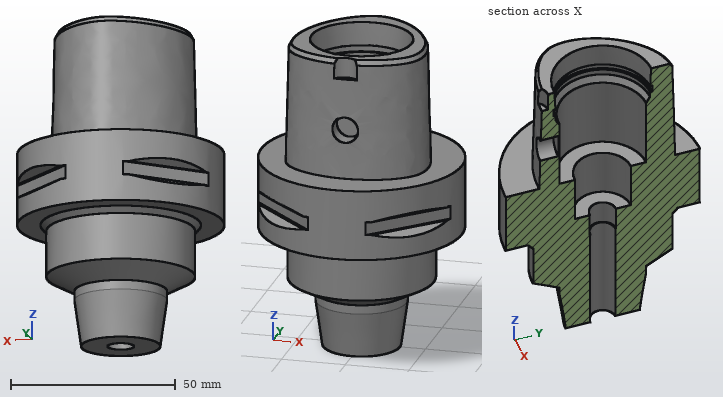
import cadquery as cq
import math

TOTAL_HEIGHT = 98.0
NOSE_TAPER_TOP = 14.4
NOSE_TOP = 17.2
BODY_BOTTOM = 21.8
BODY_TOP = 36.1
FLANGE_BOTTOM = 37.9
FLANGE_TOP = 60.1

NOSE_TIP_RADIUS = 12.1
NOSE_RADIUS = 14.1
BODY_RADIUS = 22.6
FLANGE_NECK_RADIUS = 24.4
FLANGE_DIAMETER = 63.0
FLANGE_RADIUS = FLANGE_DIAMETER / 2

SHANK_WIDTH = 44.2
SHANK_RADIUS = SHANK_WIDTH / 2
LOBE_HEIGHT = 1.5
SHANK_TAPER = 1 / 40
SHANK_CHAMFER_HEIGHT = 1.6
SHANK_CHAMFER_INSET = 0.9
OUTLINE_POINTS = 48

MOUTH_RADIUS = 15.7
THROAT_RADIUS = 15.3
THROAT_DEPTH = 11.5
GROOVE_RADIUS = 16.0
GROOVE_START_DEPTH = 7.35
GROOVE_END_DEPTH = 9.5
MAIN_BORE_RADIUS = 14.0
MAIN_BORE_START_DEPTH = 13.7
MAIN_BORE_FLOOR = FLANGE_TOP
SCREW_BORE_RADIUS = 9.0
SCREW_BORE_FLOOR = 44.1
COOLANT_BORE_RADIUS = 4.2
TOOL_BORE_RADIUS = 4.0

KEYWAY_RADIUS = 4.5
KEYWAY_CENTRE_Y = -22.3
KEYWAY_DEPTH = 6.3
RADIAL_HOLE_RADIUS = 4.0
RADIAL_HOLE_Z = 75.6
RADIAL_HOLE_FLOOR_DISTANCE = 14.5

NOTCH_COUNT = 4
NOTCH_FIRST_ANGLE = 45
NOTCH_FLOOR_DISTANCE = 27.7
NOTCH_FLOOR_HEIGHT = 4.1
NOTCH_CENTRE_Z = 48.0
NOTCH_STRAIGHT_DEPTH = 0.8
NOTCH_FLARE_ANGLE = 30


def lobed_point(angle, mean_radius):
    """Point of the outline whose distance to its tangent is mean_radius - LOBE_HEIGHT * sin(3 * angle)."""
    reach = mean_radius - LOBE_HEIGHT * math.sin(3 * angle)
    slope = -3 * LOBE_HEIGHT * math.cos(3 * angle)
    x = reach * math.cos(angle) - slope * math.sin(angle)
    y = reach * math.sin(angle) + slope * math.cos(angle)
    return x, y


def lobed_wire(mean_radius, z):
    points = []
    for i in range(OUTLINE_POINTS):
        x, y = lobed_point(2 * math.pi * i / OUTLINE_POINTS - math.pi / 2, mean_radius)
        points.append(cq.Vector(x, y, z))
    return cq.Wire.assembleEdges([cq.Edge.makeSpline(points, periodic=True)])


def make_shank():
    chamfer_z = TOTAL_HEIGHT - SHANK_CHAMFER_HEIGHT
    chamfer_radius = SHANK_RADIUS - SHANK_TAPER * (chamfer_z - FLANGE_TOP)
    base = lobed_wire(SHANK_RADIUS, FLANGE_TOP)
    shoulder = lobed_wire(chamfer_radius, chamfer_z)
    end = lobed_wire(chamfer_radius - SHANK_CHAMFER_INSET, TOTAL_HEIGHT)
    taper = cq.Solid.makeLoft([base, shoulder], True)
    chamfer = cq.Solid.makeLoft([shoulder, end], True)
    return cq.Workplane(taper).union(cq.Workplane(chamfer))


def revolve_profile(points):
    """Turn a closed outline of (radius, z) points about the Z axis."""
    return cq.Workplane("XZ").polyline(points).close().revolve(360, (0, 0, 0), (0, 1, 0))


def make_turned_body():
    return revolve_profile([
        (0, 0),
        (NOSE_TIP_RADIUS, 0),
        (NOSE_RADIUS, NOSE_TAPER_TOP),
        (NOSE_RADIUS, NOSE_TOP),
        (BODY_RADIUS, BODY_BOTTOM),
        (BODY_RADIUS, BODY_TOP),
        (FLANGE_NECK_RADIUS, FLANGE_BOTTOM),
        (FLANGE_RADIUS, FLANGE_BOTTOM),
        (FLANGE_RADIUS, FLANGE_TOP),
        (0, FLANGE_TOP),
    ])


def make_bore():
    """Stepped bore whose mouth tapers to the throat, with a groove cut above the main bore."""
    groove_top = TOTAL_HEIGHT - GROOVE_START_DEPTH
    groove_bottom = TOTAL_HEIGHT - GROOVE_END_DEPTH
    return revolve_profile([
        (0, 0),
        (TOOL_BORE_RADIUS, 0),
        (TOOL_BORE_RADIUS, BODY_TOP),
        (COOLANT_BORE_RADIUS, BODY_TOP),
        (COOLANT_BORE_RADIUS, SCREW_BORE_FLOOR),
        (SCREW_BORE_RADIUS, SCREW_BORE_FLOOR),
        (SCREW_BORE_RADIUS, MAIN_BORE_FLOOR),
        (MAIN_BORE_RADIUS, MAIN_BORE_FLOOR),
        (MAIN_BORE_RADIUS, TOTAL_HEIGHT - MAIN_BORE_START_DEPTH),
        (THROAT_RADIUS, TOTAL_HEIGHT - THROAT_DEPTH),
        (THROAT_RADIUS, groove_bottom),
        (GROOVE_RADIUS, groove_bottom),
        (GROOVE_RADIUS, groove_top),
        (THROAT_RADIUS, groove_top),
        (MOUTH_RADIUS, TOTAL_HEIGHT),
        (0, TOTAL_HEIGHT),
    ])


def make_keyway():
    return (
        cq.Workplane("XY", origin=(0, KEYWAY_CENTRE_Y, TOTAL_HEIGHT - KEYWAY_DEPTH))
        .circle(KEYWAY_RADIUS)
        .extrude(KEYWAY_DEPTH)
    )


def make_radial_hole():
    """Flat-bottomed hole in the -Y side of the shank, stopping just outside the main bore."""
    return (
        cq.Workplane("XZ", origin=(0, -RADIAL_HOLE_FLOOR_DISTANCE, RADIAL_HOLE_Z))
        .circle(RADIAL_HOLE_RADIUS)
        .extrude(FLANGE_RADIUS - RADIAL_HOLE_FLOOR_DISTANCE)
    )


def make_notch(angle):
    """Flat-floored notch with short straight walls that flare outward, cut across the flange rim."""
    floor_half = NOTCH_FLOOR_HEIGHT / 2
    flare_start = NOTCH_FLOOR_DISTANCE + NOTCH_STRAIGHT_DEPTH
    flare_slope = math.tan(math.radians(NOTCH_FLARE_ANGLE))
    mouth_half = floor_half + flare_slope * (FLANGE_RADIUS - flare_start)
    return (
        cq.Workplane("XZ", origin=(0, 0, NOTCH_CENTRE_Z))
        .polyline([
            (NOTCH_FLOOR_DISTANCE, -floor_half),
            (flare_start, -floor_half),
            (FLANGE_RADIUS, -mouth_half),
            (FLANGE_RADIUS, mouth_half),
            (flare_start, floor_half),
            (NOTCH_FLOOR_DISTANCE, floor_half),
        ])
        .close()
        .extrude(FLANGE_RADIUS, both=True)
        .rotate((0, 0, 0), (0, 0, 1), angle)
    )


result = make_turned_body().union(make_shank())
result = result.cut(make_bore()).cut(make_keyway()).cut(make_radial_hole())
for index in range(NOTCH_COUNT):
    result = result.cut(make_notch(NOTCH_FIRST_ANGLE + index * 360 / NOTCH_COUNT))